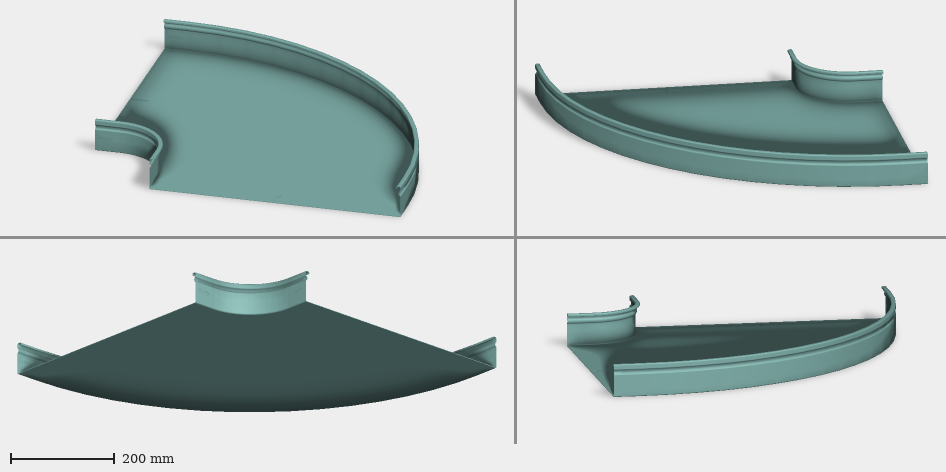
import cadquery as cq

thickness = 1.0
inner_side = 150.0
outer_side = 652.0
height = 64.0
straight = 50.0

bend_radius = 2.0
lip_width = 9.0
lip_drop = 4.0
groove_centre = 49.0
groove_width = 10.0
groove_depth = 3.0

slot_length = 30.5
slot_width = 8.0
slot_end_gap = 5.0
wall_slot_height = 27.0

half_sheet = thickness / 2
section_middle = (inner_side + outer_side) / 2


def side_wall(face, inward):
    """Sheet centreline edges from the floor up to the lip; inward is +1 or -1."""

    def point(depth, z):
        return cq.Vector(face + inward * depth, 0, z)

    lip_height = height - half_sheet
    lip_end = lip_width - half_sheet
    foot = point(half_sheet, half_sheet)
    groove_start = point(half_sheet, groove_centre - groove_width / 2)
    groove_bed = point(half_sheet + groove_depth, groove_centre)
    groove_end = point(half_sheet, groove_centre + groove_width / 2)
    rim = point(half_sheet, lip_height)
    lip_corner = point(lip_end, lip_height)
    lip_tip = point(lip_end, lip_height - lip_drop)
    edges = [
        cq.Edge.makeLine(foot, groove_start),
        cq.Edge.makeThreePointArc(groove_start, groove_bed, groove_end),
        cq.Edge.makeLine(groove_end, rim),
        cq.Edge.makeLine(rim, lip_corner),
        cq.Edge.makeLine(lip_corner, lip_tip),
    ]
    bends = [foot, groove_start, groove_end, rim, lip_corner]
    return edges, bends


def tray_section():
    """Closed sheet outline of the tray on the end face y = 0."""
    inner_edges, inner_bends = side_wall(inner_side, 1)
    outer_edges, outer_bends = side_wall(outer_side, -1)
    floor = cq.Edge.makeLine(inner_bends[0], outer_bends[0])
    centreline = cq.Wire.assembleEdges(inner_edges[::-1] + [floor] + outer_edges)
    bends = [v for v in centreline.Vertices() if v.Center() in inner_bends + outer_bends]
    return centreline.fillet2D(bend_radius, bends).offset2D(half_sheet)[0]


def across_diagonal(shape):
    """Copy of the shape reflected across the plane x = y."""
    return shape.mirror((1, -1, 0))


def tray_body():
    """Straight run at each end, joined by the quarter turn."""
    section = tray_section()
    end_run = cq.Workplane(cq.Solid.extrudeLinear(section, [], cq.Vector(0, straight, 0)))
    turn_start = section.translate(cq.Vector(0, straight, 0))
    turn_centre = cq.Vector(straight, straight, 0)
    turn_axis_end = turn_centre + cq.Vector(0, 0, 6.5)
    turn = cq.Workplane(cq.Solid.revolve(turn_start, [], 90, turn_centre, turn_axis_end))
    return turn.union(end_run).union(across_diagonal(end_run))


def end_slots():
    """Cutters for the slots at the end face y = 0: one in the floor, one in each wall."""
    slot_y = slot_end_gap + slot_length / 2
    floor_slot = (
        cq.Workplane("XY", origin=(section_middle, slot_y, half_sheet))
        .slot2D(slot_length, slot_width, 90)
        .extrude(half_sheet)
    )
    wall_slot = cq.Workplane("YZ").slot2D(slot_length, slot_width).extrude(half_sheet)
    wall_slot_starts = [inner_side, outer_side - thickness]
    wall_slots = [wall_slot.translate((x, slot_y, wall_slot_height)) for x in wall_slot_starts]
    return [floor_slot] + wall_slots


result = tray_body()
for slot in end_slots():
    result = result.cut(slot).cut(across_diagonal(slot))